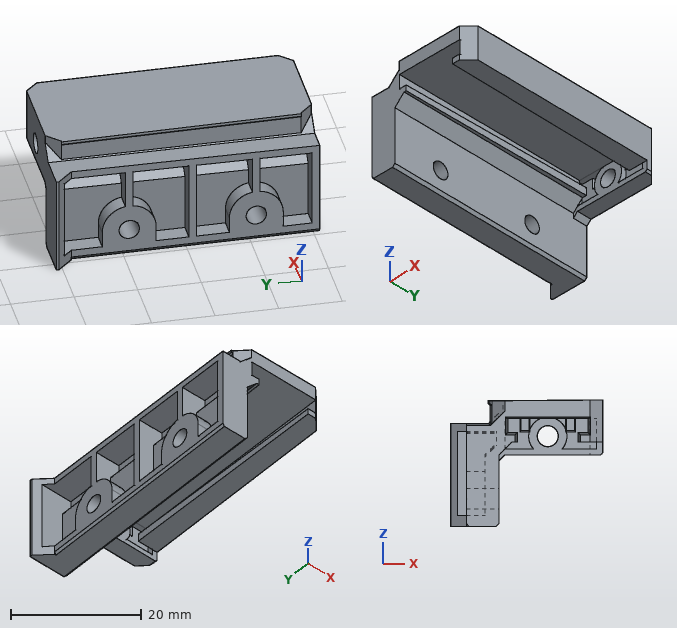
import cadquery as cq

length = 42.0
width = 23.45
height = 19.5
top_fall = 0.13

leg_left = 2.48
leg_right = 7.48
leg_left_chamfer = (0.3, 0.5)
leg_right_chamfer = 0.5

shoulder_front = 15.55
shoulder_back = 15.88
haunch_left_front = 6.15
haunch_left_back = 5.85
haunch_rise = 2.23

fin_edge = 0.4

cap_corner_x = 1.97
cap_corner_y = 2.0
cap_left_corner = 2.1
cap_wall_front = 6.35
cap_wall_back = 6.05
lip_overhang = 0.25
lip_depth = 0.45

rail_bottom = 13.0
rail_slope_width = 1.97
rail_top = 14.1
channel_left = 8.45
channel_right = 21.5
channel_roof = 16.85
slot_left = 9.9
slot_right = 19.95
channel_draft = 0.38
roof_draft = 0.25

plate_thickness = 3.0
plate_bottom = 11.0
plate_corner = 0.38
gusset = 0.9
recess_depth = 1.0
rim = 0.95
window_depth = 1.0
window_bottom = 14.57
window_inner = 2.75
window_outer = 4.3
window_draft = 0.15
end_hole_x = 14.95
end_hole_z = 13.9
end_boss_radius = 2.95

hole_radius = 1.6
overlap = 0.4

pocket_front = 1.2
pocket_back = 40.5
pocket_bottom = 1.72
pocket_floor = 5.35
pocket_floor_step = 1.72
pocket_top_front = 14.32
pocket_top_back = 14.65
step_below_top = 3.55
web_thickness = 1.2
boss_spacing = 20.0
boss_front_y = 10.0
boss_z = 4.3
boss_radius = 4.25

plate_front = length - plate_thickness
slope_start = rail_bottom - rail_slope_width


def loft_along_y(y_front, front_points, y_back, back_points):
    """Solid with straight sides between two XZ outlines."""
    front = cq.Wire.makePolygon([cq.Vector(x, y_front, z) for x, z in front_points], close=True)
    back = cq.Wire.makePolygon([cq.Vector(x, y_back, z) for x, z in back_points], close=True)
    return cq.Workplane(obj=cq.Solid.makeLoft([front, back], True))


def prism_along_y(y_front, y_back, points):
    return loft_along_y(y_front, points, y_back, points)


def box(x_range, y_range, z_range):
    size = [end - start for start, end in (x_range, y_range, z_range)]
    corner = (x_range[0], y_range[0], z_range[0])
    return cq.Workplane("XY").box(*size, centered=False).translate(corner)


def cylinder_along_y(radius, y_front, y_back):
    plane = cq.Workplane("XZ", origin=(end_hole_x, y_back, end_hole_z))
    return plane.circle(radius).extrude(y_back - y_front)


def body_outline(shoulder, haunch_left):
    """Section through leg, haunch and cap, without the channel; the leg is as wide as the fin."""
    haunch_right = haunch_left + haunch_rise
    return [
        (0, 0),
        (leg_right - leg_right_chamfer, 0),
        (leg_right, leg_right_chamfer),
        (leg_right, slope_start),
        (leg_right + rail_slope_width, rail_bottom),
        (width, rail_bottom),
        (width, height),
        (haunch_right, height),
        (haunch_right, shoulder + haunch_rise),
        (haunch_left, shoulder),
        (0, shoulder),
    ]


def make_body():
    return loft_along_y(
        0,
        body_outline(shoulder_front, haunch_left_front),
        length,
        body_outline(shoulder_back, haunch_left_back),
    )


def make_leg_relief():
    """Material taken off the leg's left side, leaving the 45 degree fin and a bottom chamfer."""
    fin_start = length - fin_edge - leg_left
    plan = [(0, 0), (leg_left, 0), (leg_left, fin_start), (0, length - fin_edge)]
    relief = cq.Workplane("XY").polyline(plan).close().extrude(height)
    chamfer_x, chamfer_z = leg_left_chamfer
    triangle = [(leg_left, 0), (leg_left + chamfer_x, 0), (leg_left, chamfer_z)]
    return relief.union(prism_along_y(0, fin_start, triangle))


def make_cap():
    """Slab above the shoulder with four cut corners and a thin lip along its left edge."""
    plan = [
        (cap_wall_front + cap_left_corner, 0),
        (width, 0),
        (width, length),
        (cap_wall_back + cap_left_corner, length),
        (cap_wall_back, length - cap_left_corner),
        (cap_wall_front, cap_left_corner),
    ]
    slab = cq.Workplane("XY", origin=(0, 0, shoulder_front)).polyline(plan).close()
    slab = slab.extrude(height - shoulder_front)

    def lip_outline(wall):
        edge = wall - lip_overhang
        underside = height - top_fall - lip_depth
        return [
            (edge, underside),
            (edge, height),
            (wall + overlap, height),
            (wall + overlap, underside - lip_overhang),
            (wall, underside - lip_overhang),
        ]

    lip = loft_along_y(
        cap_left_corner, lip_outline(cap_wall_front), length - cap_left_corner, lip_outline(cap_wall_back)
    )
    return slab.union(lip)


def make_back_plate():
    outline = [
        (leg_right - overlap, plate_bottom - gusset - overlap),
        (leg_right + gusset, plate_bottom),
        (width - plate_corner, plate_bottom),
        (width, plate_bottom + plate_corner),
        (width, channel_roof),
        (leg_right - overlap, shoulder_front),
    ]
    return prism_along_y(plate_front, length, outline)


def make_right_corners():
    """Triangular prisms trimming both right-hand corners over the full height."""
    front = [(width - cap_corner_x, 0), (width, 0), (width, cap_corner_y)]
    back = [(x, length - y) for x, y in front]
    corners = cq.Workplane("XY").polyline(front).close().extrude(height)
    return corners.union(cq.Workplane("XY").polyline(back).close().extrude(height))


def make_top_trim():
    left = cap_wall_back - lip_overhang
    return prism_along_y(0, length, [(left, height - top_fall), (width, height), (left, height)])


def channel_outline(draft, roof_drop):
    left = channel_left + draft
    right = channel_right - draft
    return [
        (slot_left + draft, rail_bottom),
        (slot_right - draft, rail_bottom),
        (slot_right - draft, rail_top + draft),
        (right, rail_top + draft),
        (right, channel_roof - roof_drop),
        (left, channel_roof - roof_drop),
        (left, rail_top + draft),
        (slot_left + draft, rail_top + draft),
    ]


def make_channel():
    back_outline = channel_outline(channel_draft, roof_draft)
    return loft_along_y(0, channel_outline(0, 0), plate_front, back_outline)


def window_outline(side, draft):
    inner = end_hole_x + side * (window_inner + draft)
    outer = end_hole_x + side * (window_outer - draft)
    roof = channel_roof - roof_draft
    bottom = window_bottom + draft
    return [(inner, bottom), (outer, bottom), (outer, roof), (inner, roof)]


def make_plate_recess():
    """Recess in the plate's front face around the boss, with a deeper window on either side."""
    recess_floor = plate_front + recess_depth
    window_floor = recess_floor + window_depth
    roof = channel_roof - roof_draft
    recess_bottom = plate_bottom + rim
    recess_left = leg_right + recess_bottom - slope_start
    recess = box((recess_left, width - rim), (plate_front, recess_floor), (recess_bottom, roof))
    recess = recess.cut(cylinder_along_y(end_boss_radius, plate_front, recess_floor))
    for side in (-1, 1):
        window = loft_along_y(
            recess_floor, window_outline(side, 0), window_floor, window_outline(side, window_draft)
        )
        recess = recess.union(window)
    return recess


def pocket_outline(top):
    step_bottom = top - step_below_top
    deep_floor = pocket_floor + pocket_floor_step
    return [
        (0, pocket_bottom),
        (pocket_floor, pocket_bottom),
        (pocket_floor, step_bottom),
        (deep_floor, step_bottom + pocket_floor_step),
        (deep_floor, top),
        (0, top),
    ]


def make_leg_pockets():
    """Hollow of the leg, leaving the middle web and a ribbed boss around each hole."""
    pockets = loft_along_y(
        pocket_front, pocket_outline(pocket_top_front), pocket_back, pocket_outline(pocket_top_back)
    )
    leg_span = (leg_left, leg_right)
    rib_centres = [boss_front_y + step * boss_spacing / 2 for step in range(3)]
    for y in rib_centres:
        rib_y = (y - web_thickness / 2, y + web_thickness / 2)
        rib_bottom = pocket_bottom if y == rib_centres[1] else boss_z
        pockets = pockets.cut(box(leg_span, rib_y, (rib_bottom, shoulder_back)))
    for y in rib_centres[::2]:
        boss = cq.Workplane("YZ", origin=(leg_left, y, boss_z)).circle(boss_radius)
        pockets = pockets.cut(boss.extrude(leg_right - leg_left))
        foot_y = (y - boss_radius, y + boss_radius)
        pockets = pockets.cut(box(leg_span, foot_y, (pocket_bottom, boss_z)))
    return pockets


def make_leg_holes():
    centres = [(boss_front_y, boss_z), (boss_front_y + boss_spacing, boss_z)]
    return cq.Workplane("YZ").pushPoints(centres).circle(hole_radius).extrude(leg_right)


result = make_body().cut(make_leg_relief()).union(make_cap()).union(make_back_plate())
result = result.cut(make_right_corners()).cut(make_top_trim())
result = result.cut(make_channel()).cut(make_plate_recess())
result = result.cut(cylinder_along_y(hole_radius, plate_front, length))
result = result.cut(make_leg_pockets()).cut(make_leg_holes())